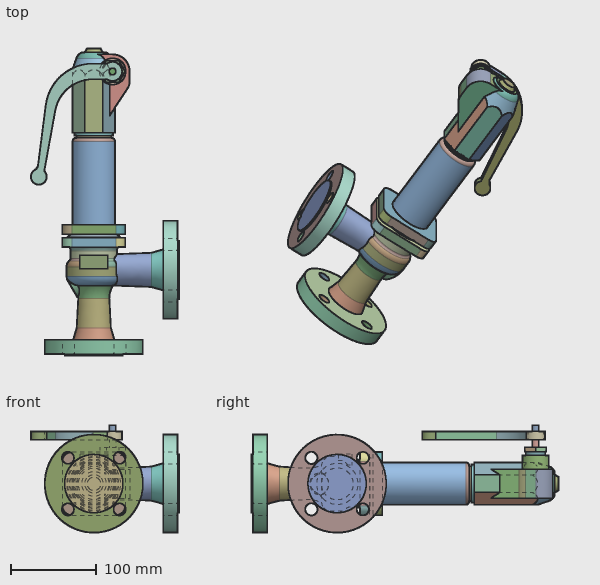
import cadquery as cq
import math


TOTAL_LENGTH = 358.5

FLANGE_DIA = 114.7
FLANGE_THICKNESS = 17.0
RAISED_FACE_DIA = 68
RAISED_FACE_HEIGHT = 1.8
FLANGE_BACK = RAISED_FACE_HEIGHT + FLANGE_THICKNESS
BOLT_CIRCLE_DIA = 85.0
BOLT_HOLE_DIA = 14.0
BOLT_COUNT = 4
BOLT_START_ANGLE = 45

NECK_END_RADIUS = 24.0
NECK_STEP_RADIUS = 20.0
NECK_FLARE_LENGTH = 14.0
INLET_NECK_RADIUS = 18.3
INLET_NECK_TOP = 67.0
OUTLET_Y = 100.0
OUTLET_REACH = 99.5
OUTLET_ROOT_RADIUS = 17.5

BULB_RADIUS = 32.0
BULB_LOWER_JOINT = (22.5, 81.7)
BULB_UPPER_JOINT = (29.0, 110.5)
BULB_BOTTOM = 93.0
BULB_TOP = 104
COLLAR_RADIUS = 27.2
COLLAR_BOTTOM = 113.5
COLLAR_TOP = 122.5
COLLAR_FLARE_RADIUS = 28.7

SQUARE_SIZE = 74.0
SQUARE_CORNER_RADIUS = 11.0
SQUARE_THICKNESS = 11.0
LOWER_SQUARE_Y = 126.5
UPPER_SQUARE_Y = 141.5
GASKET_RIM_RADIUS = 31.0
GASKET_RIM_HEIGHT = 0.7

HOUSING_DIA = 50.0
HOUSING_RADIUS = HOUSING_DIA / 2
HOUSING_ROUND_START = 250.0
GROOVE_RADIUS = 20.5
GROOVE_BOTTOM = 254.0
GROOVE_TOP = 256.7
RING_RADIUS = 22.5
CAP_FLATS = HOUSING_DIA
CAP_SIDES = 8
CAP_BOTTOM = 260.0
DOME_CONE_BOTTOM = 327.3
DOME_CONE_BOTTOM_RADIUS = 27.2
DOME_CONE_TOP = 347.0
DOME_CONE_TOP_RADIUS = 20.5
DOME_TOP = 354.0
DOME_TOP_RADIUS = 14.5
BUTTON_BOTTOM_RADIUS = 10.8
BUTTON_TOP_RADIUS = 8.0

SPINDLE_X = 22.0
SPINDLE_Y = 331.5
LUG_RADIUS = 20.0
LUG_HALF_THICKNESS = 17.0
LUG_SIDE_BOTTOM = 315.5
LUG_TIP_Y = 279.5
LUG_TIP_X = 18.3
LUG_CORNER_FILLET = 14.5
BOSS_RADIUS = 15.5
BOSS_TOP = 33.0
WAIST_RADIUS = 11.5
WAIST_TOP = 37.3
NUT_SIDES = 6
NUT_FLATS = 25.5
NUT_TOP = 42.5
PIN_RADIUS = 4.0
PIN_TOP = 68

LEVER_BOTTOM = 51.0
LEVER_TOP = 61
LEVER_EYE_RADIUS = 11.0
LEVER_ARM_WIDTH = 18.3
LEVER_BEND_X = -1.0
LEVER_OUTER_RADIUS = 55.5
LEVER_INNER_RADIUS = 44.5
LEVER_OUTER_LEAN = 7.3
LEVER_INNER_LEAN = 10.3
KNOB_X = -64.0
KNOB_Y = 208.5
KNOB_RADIUS = 9.5
KNOB_FILLET = 7

PLUG_DIA = 25
PLUG_FACE_X = -25.5
PLUG_FACE_Y = 79
PLUG_TILT = 30
PLATE_WIDTH = 32.5
PLATE_LENGTH = 15.5
PLATE_Y = 109.5
PLATE_TOP = 35.0


def revolve_about_y(profile):
    """Turn a closed XY half profile about the Y axis."""
    return profile.close().revolve(360, (0, 0, 0), (0, 1, 0))


def cylinder_z(x, y, radius, bottom, top):
    return cq.Workplane("XY", origin=(x, y, bottom)).circle(radius).extrude(top - bottom)


def cylinder_y(radius, bottom, top):
    return revolve_about_y(
        cq.Workplane("XY").moveTo(0, bottom).lineTo(radius, bottom).lineTo(radius, top).lineTo(0, top)
    )


def arc_middle(flat_end, other_end):
    """Middle of the arc that runs parallel to Y at flat_end and passes through other_end."""
    rise = other_end[0] - flat_end[0]
    run = other_end[1] - flat_end[1]
    radius = (rise**2 + run**2) / (2 * abs(rise))
    half_sweep = math.atan2(abs(rise), abs(run))
    return (
        flat_end[0] + math.copysign(radius * (1 - math.cos(half_sweep)), rise),
        flat_end[1] + math.copysign(radius * math.sin(half_sweep), run),
    )


def flanged_pipe(root_radius, root_y):
    """Flange with its sealing face at Y = 0 and a tapered neck that reaches up to root_y."""
    flange = cylinder_y(FLANGE_DIA / 2, RAISED_FACE_HEIGHT, FLANGE_BACK)
    flange = flange.union(cylinder_y(RAISED_FACE_DIA / 2, 0, FLANGE_BACK))
    holes = (
        cq.Workplane("XZ")
        .polarArray(BOLT_CIRCLE_DIA / 2, BOLT_START_ANGLE, 360, BOLT_COUNT)
        .circle(BOLT_HOLE_DIA / 2)
        .extrude(-FLANGE_BACK)
    )
    neck = revolve_about_y(
        cq.Workplane("XY")
        .moveTo(0, root_y)
        .lineTo(root_radius, root_y)
        .lineTo(NECK_STEP_RADIUS, FLANGE_BACK + NECK_FLARE_LENGTH)
        .lineTo(NECK_END_RADIUS, FLANGE_BACK)
        .lineTo(0, FLANGE_BACK)
    )
    return flange.cut(holes).union(neck)


def make_inlet():
    return flanged_pipe(INLET_NECK_RADIUS, INLET_NECK_TOP)


def make_outlet():
    branch = flanged_pipe(OUTLET_ROOT_RADIUS, OUTLET_REACH)
    return branch.rotate((0, 0, 0), (0, 0, 1), 90).translate((OUTLET_REACH, OUTLET_Y, 0))


def make_body():
    """Bulb between the inlet neck and the collar, blended into both with arcs."""
    neck_top = (INLET_NECK_RADIUS, INLET_NECK_TOP)
    bulb_bottom = (BULB_RADIUS, BULB_BOTTOM)
    bulb_top = (BULB_RADIUS, BULB_TOP)
    collar_bottom = (COLLAR_RADIUS, COLLAR_BOTTOM)
    return revolve_about_y(
        cq.Workplane("XY")
        .moveTo(0, INLET_NECK_TOP)
        .lineTo(*neck_top)
        .threePointArc(arc_middle(neck_top, BULB_LOWER_JOINT), BULB_LOWER_JOINT)
        .threePointArc(arc_middle(bulb_bottom, BULB_LOWER_JOINT), bulb_bottom)
        .lineTo(*bulb_top)
        .threePointArc(arc_middle(bulb_top, BULB_UPPER_JOINT), BULB_UPPER_JOINT)
        .threePointArc(arc_middle(collar_bottom, BULB_UPPER_JOINT), collar_bottom)
        .lineTo(COLLAR_RADIUS, COLLAR_TOP)
        .tangentArcPoint((COLLAR_FLARE_RADIUS, LOWER_SQUARE_Y), relative=False)
        .lineTo(0, LOWER_SQUARE_Y)
    )


def make_plug_boss():
    """Round boss whose flat end faces down and away from the outlet."""
    tilt = math.radians(PLUG_TILT)
    outward = cq.Vector(-math.cos(tilt), -math.sin(tilt), 0)
    face = cq.Plane(origin=(PLUG_FACE_X, PLUG_FACE_Y, 0), xDir=(0, 0, 1), normal=outward)
    depth_to_axis = -PLUG_FACE_X / math.cos(tilt)
    return cq.Workplane(face).circle(PLUG_DIA / 2).extrude(-depth_to_axis)


def make_name_plate():
    return cq.Workplane("XY", origin=(0, PLATE_Y, 0)).rect(PLATE_WIDTH, PLATE_LENGTH).extrude(PLATE_TOP)


def square_flange(bottom):
    return (
        cq.Workplane("XZ", origin=(0, bottom, 0))
        .rect(SQUARE_SIZE, SQUARE_SIZE)
        .extrude(-SQUARE_THICKNESS)
        .edges("|Y")
        .fillet(SQUARE_CORNER_RADIUS)
    )


def make_bonnet_flanges():
    gap_bottom = LOWER_SQUARE_Y + SQUARE_THICKNESS
    rim_top = gap_bottom + GASKET_RIM_HEIGHT
    rim = revolve_about_y(
        cq.Workplane("XY")
        .moveTo(0, gap_bottom)
        .lineTo(GASKET_RIM_RADIUS, gap_bottom)
        .lineTo(GASKET_RIM_RADIUS, rim_top)
        .lineTo(COLLAR_RADIUS, UPPER_SQUARE_Y)
        .lineTo(0, UPPER_SQUARE_Y)
    )
    return square_flange(LOWER_SQUARE_Y).union(rim).union(square_flange(UPPER_SQUARE_Y))


def make_housing():
    """Tube with a rounded top, then the groove and ring below the cap."""
    return revolve_about_y(
        cq.Workplane("XY")
        .moveTo(0, UPPER_SQUARE_Y)
        .lineTo(HOUSING_RADIUS, UPPER_SQUARE_Y)
        .lineTo(HOUSING_RADIUS, HOUSING_ROUND_START)
        .tangentArcPoint((GROOVE_RADIUS, GROOVE_BOTTOM), relative=False)
        .lineTo(GROOVE_RADIUS, GROOVE_TOP)
        .lineTo(RING_RADIUS, GROOVE_TOP)
        .lineTo(RING_RADIUS, CAP_BOTTOM)
        .lineTo(0, CAP_BOTTOM)
    )


def make_cap():
    """Octagonal prism trimmed by a domed, turned outline."""
    corner_dia = CAP_FLATS / math.cos(math.pi / CAP_SIDES)
    octagon = (
        cq.Workplane("XZ", origin=(0, CAP_BOTTOM, 0))
        .polygon(CAP_SIDES, corner_dia)
        .extrude(-(TOTAL_LENGTH - CAP_BOTTOM))
        .rotate((0, 0, 0), (0, 1, 0), 180 / CAP_SIDES)
    )
    dome = revolve_about_y(
        cq.Workplane("XY")
        .moveTo(0, CAP_BOTTOM)
        .lineTo(DOME_CONE_BOTTOM_RADIUS, CAP_BOTTOM)
        .lineTo(DOME_CONE_BOTTOM_RADIUS, DOME_CONE_BOTTOM)
        .lineTo(DOME_CONE_TOP_RADIUS, DOME_CONE_TOP)
        .tangentArcPoint((DOME_TOP_RADIUS, DOME_TOP), relative=False)
        .lineTo(BUTTON_BOTTOM_RADIUS, DOME_TOP)
        .lineTo(BUTTON_TOP_RADIUS, TOTAL_LENGTH)
        .lineTo(0, TOTAL_LENGTH)
    )
    return octagon.intersect(dome)


def make_lug():
    """Flat lug on the outlet side of the cap, rounded about the spindle."""
    top = SPINDLE_Y + LUG_RADIUS
    side = SPINDLE_X + LUG_RADIUS
    corner_reach = LUG_RADIUS * math.sqrt(0.5)
    return (
        cq.Workplane("XY", origin=(0, 0, -LUG_HALF_THICKNESS))
        .moveTo(0, LUG_TIP_Y)
        .lineTo(LUG_TIP_X, LUG_TIP_Y)
        .lineTo(side, LUG_SIDE_BOTTOM)
        .lineTo(side, SPINDLE_Y)
        .threePointArc((SPINDLE_X + corner_reach, SPINDLE_Y + corner_reach), (SPINDLE_X, top))
        .lineTo(0, top)
        .close()
        .extrude(2 * LUG_HALF_THICKNESS)
        .edges(cq.selectors.NearestToPointSelector((side, LUG_SIDE_BOTTOM, 0)))
        .fillet(LUG_CORNER_FILLET)
    )


def make_spindle():
    nut = (
        cq.Workplane("XY", origin=(SPINDLE_X, SPINDLE_Y, WAIST_TOP))
        .polygon(NUT_SIDES, NUT_FLATS / math.cos(math.pi / NUT_SIDES))
        .extrude(NUT_TOP - WAIST_TOP)
    )
    spindle = cylinder_z(SPINDLE_X, SPINDLE_Y, BOSS_RADIUS, 0, BOSS_TOP)
    spindle = spindle.union(cylinder_z(SPINDLE_X, SPINDLE_Y, WAIST_RADIUS, BOSS_TOP, WAIST_TOP))
    spindle = spindle.union(nut)
    return spindle.union(cylinder_z(SPINDLE_X, SPINDLE_Y, PIN_RADIUS, NUT_TOP, PIN_TOP))


def bend_point(edge_y, radius, angle):
    """Point on a lever bend; the angle is measured up from the -X direction."""
    turn = math.radians(angle)
    return (LEVER_BEND_X - radius * math.cos(turn), edge_y - radius + radius * math.sin(turn))


def handle_end(start, lean):
    """Run from the end of a bend down to the height of the knob centre."""
    drop = start[1] - KNOB_Y
    return (start[0] - drop * math.tan(math.radians(lean)), KNOB_Y)


def make_lever():
    upper = SPINDLE_Y + LEVER_ARM_WIDTH / 2
    lower = SPINDLE_Y - LEVER_ARM_WIDTH / 2
    outer_end = bend_point(upper, LEVER_OUTER_RADIUS, LEVER_OUTER_LEAN)
    inner_end = bend_point(lower, LEVER_INNER_RADIUS, LEVER_INNER_LEAN)
    arm = (
        cq.Workplane("XY", origin=(0, 0, LEVER_BOTTOM))
        .moveTo(SPINDLE_X, upper)
        .lineTo(LEVER_BEND_X, upper)
        .threePointArc(bend_point(upper, LEVER_OUTER_RADIUS, 45), outer_end)
        .lineTo(*handle_end(outer_end, LEVER_OUTER_LEAN))
        .lineTo(*handle_end(inner_end, LEVER_INNER_LEAN))
        .lineTo(*inner_end)
        .threePointArc(bend_point(lower, LEVER_INNER_RADIUS, 45), (LEVER_BEND_X, lower))
        .lineTo(SPINDLE_X, lower)
        .close()
        .extrude(LEVER_TOP - LEVER_BOTTOM)
    )
    lever = arm.union(cylinder_z(KNOB_X, KNOB_Y, KNOB_RADIUS, LEVER_BOTTOM, LEVER_TOP))
    outer_corner = (KNOB_X - KNOB_RADIUS / 2, KNOB_Y + KNOB_RADIUS, LEVER_BOTTOM)
    lever = lever.edges("|Z").edges(cq.selectors.NearestToPointSelector(outer_corner)).fillet(KNOB_FILLET)
    return lever.union(cylinder_z(SPINDLE_X, SPINDLE_Y, LEVER_EYE_RADIUS, LEVER_BOTTOM, LEVER_TOP))


result = make_inlet()
for component in (
    make_body(),
    make_outlet(),
    make_plug_boss(),
    make_name_plate(),
    make_bonnet_flanges(),
    make_housing(),
    make_cap(),
    make_lug(),
    make_spindle(),
    make_lever(),
):
    result = result.union(component)